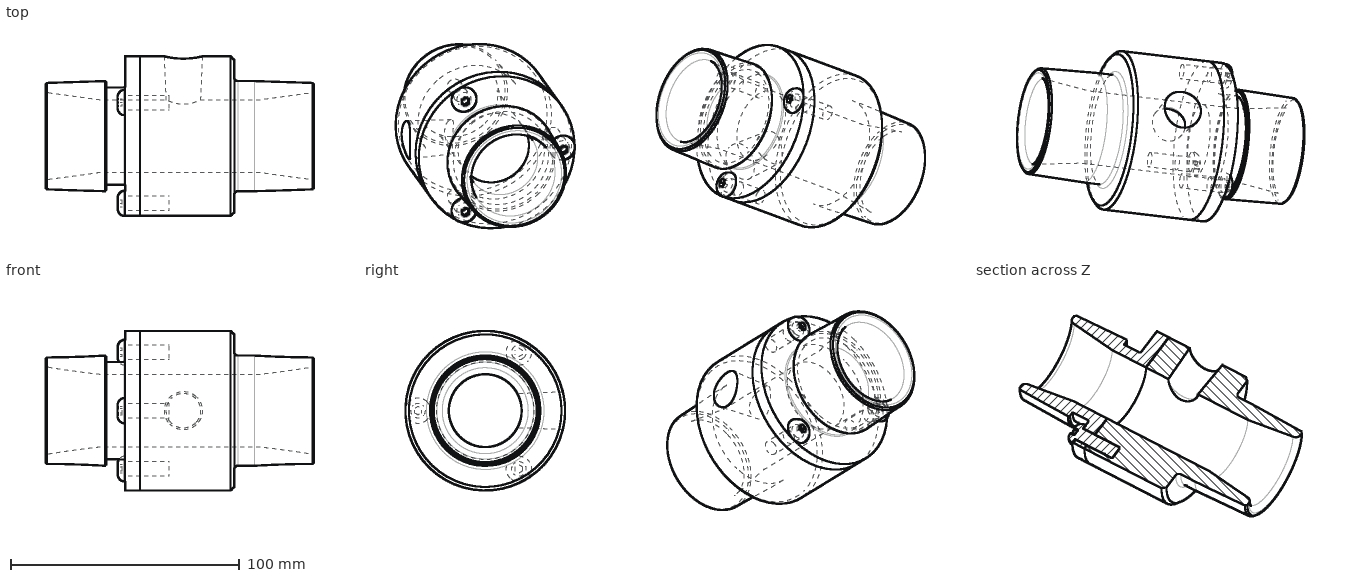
import cadquery as cq
import math

PIPE_LENGTH = 34.925
FLANGE_THICKNESS = 6.35
HOUSING_LENGTH = 41.275
FLANGE_FACE_X = PIPE_LENGTH
JOINT_X = FLANGE_FACE_X + FLANGE_THICKNESS
SHOULDER_X = JOINT_X + HOUSING_LENGTH
TOTAL_LENGTH = SHOULDER_X + PIPE_LENGTH

BODY_RADIUS = 69.85 / 2
PIPE_RADIUS = 48.26 / 2
NECK_RADIUS = 42.67 / 2
BODY_CHAMFER = 1.5875
NECK_ROOT_FILLET = 0.5
SHOULDER_ROOT_FILLET = 1.5875

TAPER_LENGTH = 26.0
DIAMETER_TAPER = 1 / 16
TIP_RADIUS = PIPE_RADIUS - TAPER_LENGTH * DIAMETER_TAPER / 2
TIP_CHAMFER = 0.8
COLLAR_CHAMFER = 0.7

THROAT_RADIUS = 31.75 / 2
MOUTH_RADIUS = 18.8
LIP_RADIUS = 2.4
FLARE_LENGTH = 23.8

PORT_OFFSET = 25.4
PORT_X = FLANGE_FACE_X + PORT_OFFSET
PORT_INNER_RADIUS = 15.08 / 2
PORT_OUTER_RADIUS = 16.7 / 2

SCREW_COUNT = 3
SCREW_CIRCLE_RADIUS = 29.37
SHANK_RADIUS = 6.35 / 2
SHANK_LENGTH = 19.05
HEAD_RADIUS = 5.55
HEAD_HEIGHT = 3.35
HEAD_RIM_HEIGHT = 0.7
HEAD_FLAT_RADIUS = 2.38
SOCKET_SIDES = 6
SOCKET_WIDTH = 3.175
SOCKET_DEPTH = 1.9
FIRST_SCREW_ANGLE = 180


def revolve_about_x(profile):
    """Revolve a closed (x, radius) profile about the X axis."""
    return profile.close().revolve(360, (0, 0, 0), (1, 0, 0))


def flared_bore():
    """Throat with a conical flare and a rounded lip at each end."""
    lip_reach = math.sqrt(0.5) * LIP_RADIUS
    lip_outer_radius = MOUTH_RADIUS + LIP_RADIUS
    lip_mid_radius = lip_outer_radius - lip_reach
    lip_mid_depth = LIP_RADIUS - lip_reach
    return revolve_about_x(
        cq.Workplane("XY")
        .moveTo(0, 0)
        .lineTo(0, lip_outer_radius)
        .threePointArc((lip_mid_depth, lip_mid_radius), (LIP_RADIUS, MOUTH_RADIUS))
        .lineTo(FLARE_LENGTH, THROAT_RADIUS)
        .lineTo(TOTAL_LENGTH - FLARE_LENGTH, THROAT_RADIUS)
        .lineTo(TOTAL_LENGTH - LIP_RADIUS, MOUTH_RADIUS)
        .threePointArc((TOTAL_LENGTH - lip_mid_depth, lip_mid_radius), (TOTAL_LENGTH, lip_outer_radius))
        .lineTo(TOTAL_LENGTH, 0)
    )


def side_port():
    """Tapered round hole along Y that opens into the bore."""
    return (
        cq.Workplane("XY")
        .moveTo(PORT_X, 0)
        .lineTo(PORT_X + PORT_INNER_RADIUS, 0)
        .lineTo(PORT_X + PORT_INNER_RADIUS, THROAT_RADIUS)
        .lineTo(PORT_X + PORT_OUTER_RADIUS, BODY_RADIUS)
        .lineTo(PORT_X, BODY_RADIUS)
        .close()
        .revolve(360, (PORT_X, 0, 0), (PORT_X, 1, 0))
    )


def screw(angle):
    """Button-head screw with a hex socket, at the given angle on the screw circle."""
    dome_run = HEAD_RADIUS - HEAD_FLAT_RADIUS
    dome_rise = HEAD_HEIGHT - HEAD_RIM_HEIGHT
    dome_arc_radius = (dome_run**2 + dome_rise**2) / (2 * dome_rise)
    half_sweep = math.atan2(dome_rise, dome_run)
    dome_mid_height = HEAD_HEIGHT - dome_arc_radius * (1 - math.cos(half_sweep))
    dome_mid_radius = HEAD_FLAT_RADIUS + dome_arc_radius * math.sin(half_sweep)
    blank = revolve_about_x(
        cq.Workplane("XY")
        .moveTo(-HEAD_HEIGHT, 0)
        .lineTo(-HEAD_HEIGHT, HEAD_FLAT_RADIUS)
        .threePointArc((-dome_mid_height, dome_mid_radius), (-HEAD_RIM_HEIGHT, HEAD_RADIUS))
        .lineTo(0, HEAD_RADIUS)
        .lineTo(0, SHANK_RADIUS)
        .lineTo(SHANK_LENGTH, SHANK_RADIUS)
        .lineTo(SHANK_LENGTH, 0)
    )
    socket = (
        cq.Workplane("YZ", origin=(-HEAD_HEIGHT, 0, 0))
        .polygon(SOCKET_SIDES, SOCKET_WIDTH, circumscribed=True)
        .extrude(SOCKET_DEPTH)
    )
    y = SCREW_CIRCLE_RADIUS * math.cos(math.radians(angle))
    z = SCREW_CIRCLE_RADIUS * math.sin(math.radians(angle))
    return blank.cut(socket).translate((FLANGE_FACE_X, y, z))


def screw_holes():
    """Blind holes that match the screw shanks, through the flange into the housing."""
    return (
        cq.Workplane("YZ", origin=(FLANGE_FACE_X, 0, 0))
        .polarArray(SCREW_CIRCLE_RADIUS, FIRST_SCREW_ANGLE, 360, SCREW_COUNT)
        .circle(SHANK_RADIUS)
        .extrude(SHANK_LENGTH)
    )


def flange():
    """Left pipe end with its collar, neck and round flange."""
    collar_end_x = TAPER_LENGTH + COLLAR_CHAMFER
    fillet_rise = NECK_ROOT_FILLET * (1 - math.sqrt(0.5))
    body = revolve_about_x(
        cq.Workplane("XY")
        .moveTo(0, 0)
        .lineTo(0, TIP_RADIUS - TIP_CHAMFER)
        .lineTo(TIP_CHAMFER, TIP_RADIUS)
        .lineTo(TAPER_LENGTH, PIPE_RADIUS)
        .lineTo(collar_end_x, PIPE_RADIUS - COLLAR_CHAMFER)
        .lineTo(collar_end_x, NECK_RADIUS)
        .lineTo(FLANGE_FACE_X - NECK_ROOT_FILLET, NECK_RADIUS)
        .threePointArc(
            (FLANGE_FACE_X - fillet_rise, NECK_RADIUS + fillet_rise),
            (FLANGE_FACE_X, NECK_RADIUS + NECK_ROOT_FILLET),
        )
        .lineTo(FLANGE_FACE_X, BODY_RADIUS)
        .lineTo(JOINT_X, BODY_RADIUS)
        .lineTo(JOINT_X, 0)
    )
    return body.cut(flared_bore()).cut(screw_holes())


def housing():
    """Main cylinder with the right pipe end and the side port."""
    taper_start_x = TOTAL_LENGTH - TAPER_LENGTH
    fillet_rise = SHOULDER_ROOT_FILLET * (1 - math.sqrt(0.5))
    body = revolve_about_x(
        cq.Workplane("XY")
        .moveTo(JOINT_X, 0)
        .lineTo(JOINT_X, BODY_RADIUS)
        .lineTo(SHOULDER_X - BODY_CHAMFER, BODY_RADIUS)
        .lineTo(SHOULDER_X, BODY_RADIUS - BODY_CHAMFER)
        .lineTo(SHOULDER_X, PIPE_RADIUS + SHOULDER_ROOT_FILLET)
        .threePointArc(
            (SHOULDER_X + fillet_rise, PIPE_RADIUS + fillet_rise),
            (SHOULDER_X + SHOULDER_ROOT_FILLET, PIPE_RADIUS),
        )
        .lineTo(taper_start_x, PIPE_RADIUS)
        .lineTo(TOTAL_LENGTH - TIP_CHAMFER, TIP_RADIUS)
        .lineTo(TOTAL_LENGTH, TIP_RADIUS - TIP_CHAMFER)
        .lineTo(TOTAL_LENGTH, 0)
    )
    return body.cut(flared_bore()).cut(screw_holes()).cut(side_port())


screw_angles = [FIRST_SCREW_ANGLE + i * 360 / SCREW_COUNT for i in range(SCREW_COUNT)]
screws = [screw(angle).val() for angle in screw_angles]

result = cq.Compound.makeCompound([flange().val(), housing().val(), *screws])